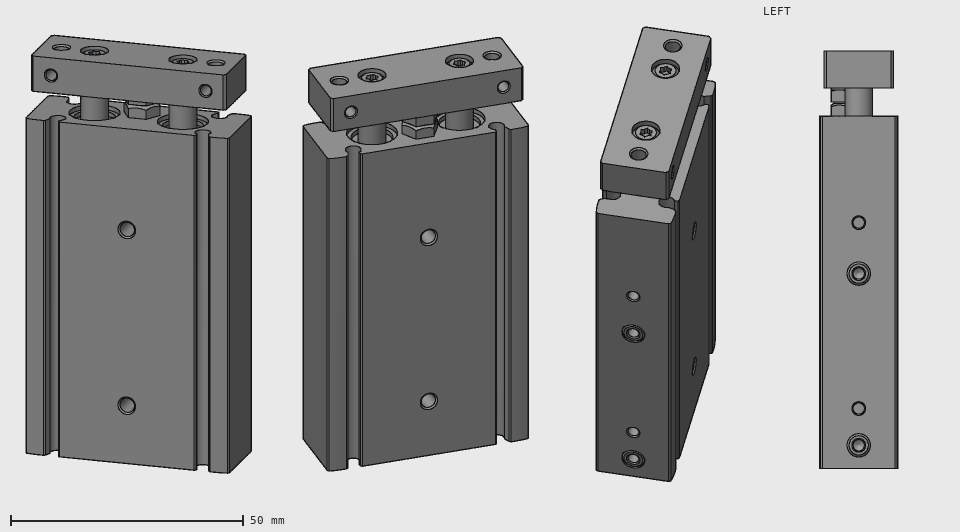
import cadquery as cq
import math

housing_width = 46.0
housing_depth = 17.0
housing_height = 76.0
crown_start_x = 19.9
crown_drop = 0.3
corner_bevel_x = 0.3
corner_bevel_y = 0.45

slot_bore_x = 16.4
slot_bore_y = 5.9
slot_bore_dia = 3.4
slot_outer_mouth_x = 18.8
slot_outer_lip_x = 18.45
slot_outer_tip_x = 17.9
slot_outer_tip_y = 6.75
slot_inner_mouth_x = 15.2
slot_inner_lip_x = 15.6
slot_lip_bevel_depth = 0.3

mount_hole_dia = 3.2
mount_hole_mouth_dia = 4.0
mount_hole_heights = (13.1, 53.0)
pin_hole_dia = 2.4
pin_hole_mouth_dia = 3.0
pin_hole_depth = 4.5
pin_hole_heights = (13.0, 53.0)
port_groove_dia = 5.0
port_land_dia = 4.1
port_groove_depth = 0.45
port_drill_dia = 2.4
port_drill_mouth_dia = 3.0
port_drill_depth = 3.6
port_tip_slope = 30.0
port_heights = (5.0, 42.0)
gland_dia = 11.0
gland_depth = 1.0
gland_step_dia = 9.0
gland_step_depth = 2.0

total_height = 90.0
plate_width = 44.0
plate_depth = 15.0
plate_height = 8.0
plate_bevel = 0.5
plate_hole_x = 17.5
plate_tap_dia = 3.2
plate_tap_mouth_dia = 4.0
plate_tap_depth = 5.4
plate_cross_dia = 2.4
plate_cross_mouth_dia = 3.0
plate_bottom = total_height - plate_height

rod_dia = 6.0
rod_x = 10.0
rod_insertion = 18.0
rod_tip_dia = 4.5
rod_tip_recess = 0.5
socket_tip_dia = 2.8
socket_root_dia = 2.2
socket_depth = 1.35
socket_lobes = 6

hex_sides = 6
hex_flats = 7.0
bolt_y = 2.4
bolt_dia = 4.0
bolt_insertion = 7.2
hex_split_z = (housing_height + plate_bottom) / 2
head_collar_dia = 7.0
head_crown_height = 0.4
head_collar_height = 0.4
nut_collar_dia = 5.85
nut_crown_height = 0.7
nut_collar_height = 0.3


def cylinder(dia, height, base=(0, 0, 0), axis=(0, 0, 1)):
    """Solid cylinder from a base centre along an axis."""
    return cq.Workplane(obj=cq.Solid.makeCylinder(dia / 2, height, cq.Vector(*base), cq.Vector(*axis)))


def cone(base_dia, tip_dia, height, base, axis):
    """Solid cone or frustum from a base centre along an axis."""
    return cq.Workplane(
        obj=cq.Solid.makeCone(base_dia / 2, tip_dia / 2, height, cq.Vector(*base), cq.Vector(*axis))
    )


def mouthed_hole(dia, mouth_dia, depth, mouth, axis):
    """Cutter for a hole whose mouth has a 45 degree bevel."""
    bevel = (mouth_dia - dia) / 2
    return cylinder(dia, depth, mouth, axis).union(cone(mouth_dia, dia, bevel, mouth, axis))


def housing_blank():
    """Housing bar with gently curved shoulders and bevelled corners."""
    half_w = housing_width / 2
    half_d = housing_depth / 2
    crown_end_x = half_w - corner_bevel_x
    run = crown_end_x - crown_start_x
    radius = (run**2 + crown_drop**2) / (2 * crown_drop)
    mid_angle = math.asin(run / radius) / 2
    mid_x = crown_start_x + radius * math.sin(mid_angle)
    mid_y = half_d - radius * (1 - math.cos(mid_angle))
    crown_end_y = half_d - crown_drop
    side_y = crown_end_y - corner_bevel_y
    return (
        cq.Workplane("XY")
        .moveTo(-crown_start_x, half_d)
        .lineTo(crown_start_x, half_d)
        .threePointArc((mid_x, mid_y), (crown_end_x, crown_end_y))
        .lineTo(half_w, side_y)
        .lineTo(half_w, -side_y)
        .lineTo(crown_end_x, -crown_end_y)
        .threePointArc((mid_x, -mid_y), (crown_start_x, -half_d))
        .lineTo(-crown_start_x, -half_d)
        .threePointArc((-mid_x, -mid_y), (-crown_end_x, -crown_end_y))
        .lineTo(-half_w, -side_y)
        .lineTo(-half_w, side_y)
        .lineTo(-crown_end_x, crown_end_y)
        .threePointArc((-mid_x, mid_y), (-crown_start_x, half_d))
        .close()
        .extrude(housing_height)
    )


def slot_cutter():
    """Sensor slot at +X, +Y: a round bore behind a narrower mouth with a tapered outer lip."""
    half_d = housing_depth / 2
    lip_y = half_d - slot_lip_bevel_depth
    mouth = (
        cq.Workplane("XY")
        .moveTo(slot_outer_mouth_x, half_d)
        .lineTo(slot_inner_mouth_x, half_d)
        .lineTo(slot_inner_lip_x, lip_y)
        .lineTo(slot_inner_lip_x, slot_outer_tip_y)
        .lineTo(slot_outer_tip_x, slot_outer_tip_y)
        .lineTo(slot_outer_lip_x, lip_y)
        .close()
        .extrude(housing_height)
    )
    return mouth.union(cylinder(slot_bore_dia, housing_height, (slot_bore_x, slot_bore_y, 0)))


def port_cutter(z):
    """Drilled air port with a pointed end, ringed by a groove that slopes up to a flat land."""
    inward = (1, 0, 0)
    face_x = -housing_width / 2
    mouth = (face_x, 0, z)
    drill_end = (face_x + port_drill_depth, 0, z)
    tip_height = port_drill_dia / 2 * math.tan(math.radians(port_tip_slope))
    land = cone(port_land_dia, port_groove_dia, port_groove_depth, mouth, inward)
    return (
        cylinder(port_groove_dia, port_groove_depth, mouth, inward)
        .cut(land)
        .union(mouthed_hole(port_drill_dia, port_drill_mouth_dia, port_drill_depth, mouth, inward))
        .union(cone(port_drill_dia, 0, tip_height, drill_end, inward))
    )


def gland_cutter(x):
    """Stepped recess around a rod, with the rod bore below it."""
    top = (x, 0, housing_height)
    down = (0, 0, -1)
    return (
        cylinder(gland_dia, gland_depth, top, down)
        .union(cylinder(gland_step_dia, gland_step_depth, top, down))
        .union(cylinder(rod_dia, rod_insertion, top, down))
    )


def make_housing():
    body = housing_blank()
    slot = slot_cutter()
    for cutter in (slot, slot.mirror("YZ")):
        body = body.cut(cutter).cut(cutter.mirror("XZ"))
    for z in mount_hole_heights:
        for side in (-1, 1):
            mouth = (0, side * housing_depth / 2, z)
            hole = mouthed_hole(
                mount_hole_dia, mount_hole_mouth_dia, housing_depth / 2, mouth, (0, -side, 0)
            )
            body = body.cut(hole)
    for z in pin_hole_heights:
        mouth = (-housing_width / 2, 0, z)
        body = body.cut(mouthed_hole(pin_hole_dia, pin_hole_mouth_dia, pin_hole_depth, mouth, (1, 0, 0)))
    for z in port_heights:
        body = body.cut(port_cutter(z))
    for side in (-1, 1):
        body = body.cut(gland_cutter(side * rod_x))
    return body.cut(cylinder(bolt_dia, bolt_insertion, (0, bolt_y, housing_height), (0, 0, -1)))


def make_plate():
    plate = (
        cq.Workplane("XY", origin=(0, 0, plate_bottom))
        .rect(plate_width, plate_depth)
        .extrude(plate_height)
        .edges("|Z")
        .chamfer(plate_bevel)
    )
    cross_z = plate_bottom + plate_height / 2
    down = (0, 0, -1)
    for side in (-1, 1):
        hole_x = side * plate_hole_x
        tap_mouth = (hole_x, 0, total_height)
        plate = plate.cut(mouthed_hole(plate_tap_dia, plate_tap_mouth_dia, plate_tap_depth, tap_mouth, down))
        for face in (-1, 1):
            mouth = (hole_x, face * plate_depth / 2, cross_z)
            plate = plate.cut(
                mouthed_hole(plate_cross_dia, plate_cross_mouth_dia, plate_depth / 2, mouth, (0, -face, 0))
            )
        rod_top = (side * rod_x, 0, total_height)
        plate = plate.cut(cylinder(rod_dia, plate_height, rod_top, down))
    return plate


def make_rod(x):
    """Guide rod with a bevelled top end and a star-shaped socket."""
    rod_top = total_height - rod_tip_recess
    rod_bottom = housing_height - rod_insertion
    rod_bevel = (rod_dia - rod_tip_dia) / 2
    rod = cylinder(rod_dia, rod_top - rod_bottom, (x, 0, rod_bottom)).faces(">Z").chamfer(rod_bevel)
    points = []
    for i in range(2 * socket_lobes):
        radius = (socket_tip_dia if i % 2 == 0 else socket_root_dia) / 2
        angle = math.pi * i / socket_lobes
        points.append((radius * math.cos(angle), radius * math.sin(angle)))
    socket = (
        cq.Workplane("XY", origin=(x, 0, rod_top))
        .polyline(points)
        .close()
        .extrude(-socket_depth)
    )
    return rod.cut(socket)


def collared_hex(bottom, top, collar_dia, crown_height, collar_height):
    """Hexagonal prism turned to a conical crown, with a round collar on top."""
    corner_dia = hex_flats / math.cos(math.pi / hex_sides)
    collar_bottom = top - collar_height
    crown_bottom = collar_bottom - crown_height
    block = (
        cq.Workplane("XY", origin=(0, bolt_y, bottom))
        .polygon(hex_sides, corner_dia)
        .extrude(collar_bottom - bottom)
    )
    crown = cone(corner_dia, collar_dia, crown_height, (0, bolt_y, crown_bottom), (0, 0, 1))
    envelope = cylinder(corner_dia, crown_bottom - bottom, (0, bolt_y, bottom)).union(crown)
    collar = cylinder(collar_dia, collar_height, (0, bolt_y, collar_bottom))
    return block.intersect(envelope).union(collar)


def make_bolt():
    shank_bottom = housing_height - bolt_insertion
    shank = cylinder(bolt_dia, hex_split_z - shank_bottom, (0, bolt_y, shank_bottom))
    head = collared_hex(hex_split_z, plate_bottom, head_collar_dia, head_crown_height, head_collar_height)
    return head.union(shank)


def make_nut():
    nut = collared_hex(housing_height, hex_split_z, nut_collar_dia, nut_crown_height, nut_collar_height)
    return nut.cut(cylinder(bolt_dia, hex_split_z - housing_height, (0, bolt_y, housing_height)))


housing = make_housing()
plate = make_plate()
rods = [make_rod(side * rod_x) for side in (-1, 1)]
bolt = make_bolt()
nut = make_nut()

result = cq.Compound.makeCompound(
    [housing.val(), plate.val(), *[rod.val() for rod in rods], bolt.val(), nut.val()]
)